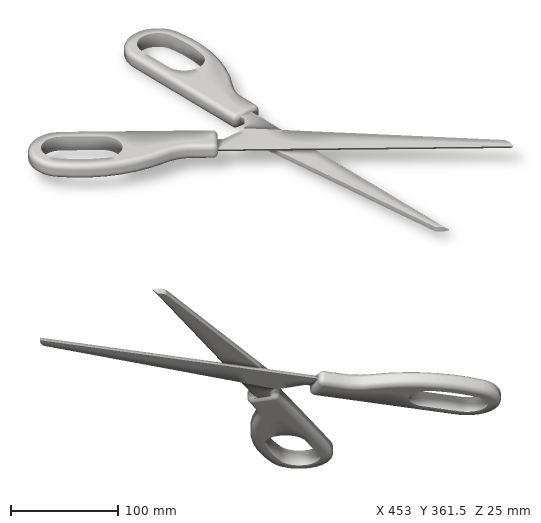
import cadquery as cq
import math


blade_thickness = 5.0
handle_thickness = 3 * blade_thickness
handle_overlap = blade_thickness / 2
handle_fillet = 5.0

pin_radius = 7.0
opening_angle = 50.1

tip_x = 206.5
cutting_edge_y = 16.0
bevel_width = 5.5
tip_length = 7.2
tip_back_y = 4.0
tip_mid_x = 204.5
tip_mid_y = 9.0
heel_x = -42.5
heel_y = -21.7
neck_x = -63.5
neck_y = -2.5

handle_front_x = -69.0
handle_left_x = -246.5
handle_bottom_y = -10.0
handle_top_y = 21.7
grip_radius = 31.5
brow_radius = 136.0
throat_radius = 43.0
brow_offset_x = 18.5
ring_wall = 12.2
blade_embed = 13.5

grip_x = handle_left_x + grip_radius
grip_y = handle_bottom_y + grip_radius
brow_x = grip_x + brow_offset_x
brow_y = grip_y - math.sqrt((brow_radius - grip_radius) ** 2 - brow_offset_x ** 2)
throat_y = handle_top_y + throat_radius
throat_x = brow_x + math.sqrt((brow_radius + throat_radius) ** 2 - (throat_y - brow_y) ** 2)


def on_circle(x, y, radius, angle):
    """Point on a circle at an angle in radians."""
    return (x + radius * math.cos(angle), y + radius * math.sin(angle))


grip_angle = math.atan2(grip_y - brow_y, grip_x - brow_x)
throat_angle = math.atan2(throat_y - brow_y, throat_x - brow_x)


def make_handle():
    """Rounded handle with a finger hole, on the lower half."""
    throat_mid_angle = (throat_angle + math.pi + 1.5 * math.pi) / 2
    brow_mid_angle = (grip_angle + throat_angle) / 2
    bottom_z = handle_overlap - handle_thickness
    handle = (
        cq.Workplane("XY", origin=(0, 0, bottom_z))
        .moveTo(handle_front_x, handle_bottom_y)
        .lineTo(handle_front_x, handle_top_y)
        .lineTo(throat_x, handle_top_y)
        .threePointArc(
            on_circle(throat_x, throat_y, throat_radius, throat_mid_angle),
            on_circle(brow_x, brow_y, brow_radius, throat_angle),
        )
        .threePointArc(
            on_circle(brow_x, brow_y, brow_radius, brow_mid_angle),
            on_circle(brow_x, brow_y, brow_radius, grip_angle),
        )
        .threePointArc((handle_left_x, grip_y), (grip_x, handle_bottom_y))
        .close()
        .extrude(handle_thickness)
    )
    front_corners = cq.selectors.BoxSelector(
        (handle_front_x - handle_fillet, handle_bottom_y - handle_fillet, bottom_z),
        (handle_front_x + handle_fillet, handle_top_y + handle_fillet, handle_overlap),
    )
    rims = handle.edges("|Z").edges(front_corners).add(handle.faces("<Z or >Z").edges())
    return rims.fillet(handle_fillet).cut(make_finger_hole(bottom_z))


def make_finger_hole(bottom_z):
    """Cutter for the finger hole, symmetric about the brow centre."""
    end_radius = grip_radius - ring_wall
    top_radius = brow_radius - ring_wall
    front_x = brow_x + brow_offset_x
    front_angle = math.pi - grip_angle
    return (
        cq.Workplane("XY", origin=(0, 0, bottom_z))
        .moveTo(grip_x, grip_y - end_radius)
        .lineTo(front_x, grip_y - end_radius)
        .threePointArc(
            (front_x + end_radius, grip_y),
            on_circle(brow_x, brow_y, top_radius, front_angle),
        )
        .threePointArc(
            (brow_x, brow_y + top_radius),
            on_circle(brow_x, brow_y, top_radius, grip_angle),
        )
        .threePointArc((grip_x - end_radius, grip_y), (grip_x, grip_y - end_radius))
        .close()
        .extrude(handle_thickness)
    )


def make_blade():
    """Tapered blade with a bevelled cutting edge, just below z = 0."""
    root_x = handle_front_x - blade_embed
    blade = (
        cq.Workplane("XY", origin=(0, 0, -blade_thickness))
        .moveTo(root_x, cutting_edge_y)
        .lineTo(root_x, neck_y)
        .lineTo(neck_x, neck_y)
        .lineTo(heel_x, heel_y)
        .lineTo(tip_x - tip_length, tip_back_y)
        .threePointArc((tip_mid_x, tip_mid_y), (tip_x, cutting_edge_y))
        .close()
        .extrude(blade_thickness)
    )
    bevel = (
        cq.Workplane("YZ", origin=(handle_front_x, 0, 0))
        .moveTo(cutting_edge_y, -blade_thickness)
        .lineTo(cutting_edge_y, 0)
        .lineTo(cutting_edge_y - bevel_width, 0)
        .close()
        .extrude(tip_x - handle_front_x)
    )
    return blade.cut(bevel)


def make_half():
    """Blade and handle in one piece, lying as the lower half."""
    return make_blade().union(make_handle())


def make_pin(base_z):
    """Pivot pin from a base height to the top face of the upper blade."""
    return (
        cq.Workplane("XY", origin=(0, 0, base_z))
        .circle(pin_radius)
        .extrude(blade_thickness - base_z)
    )


lower_half = make_half().union(make_pin(-blade_thickness))

bisector = math.radians(opening_angle / 2)
upper_half = (
    make_half()
    .rotate((0, 0, 0), (math.cos(bisector), math.sin(bisector), 0), 180)
    .cut(make_pin(0))
)

result = cq.Compound.makeCompound([lower_half.val(), upper_half.val()])